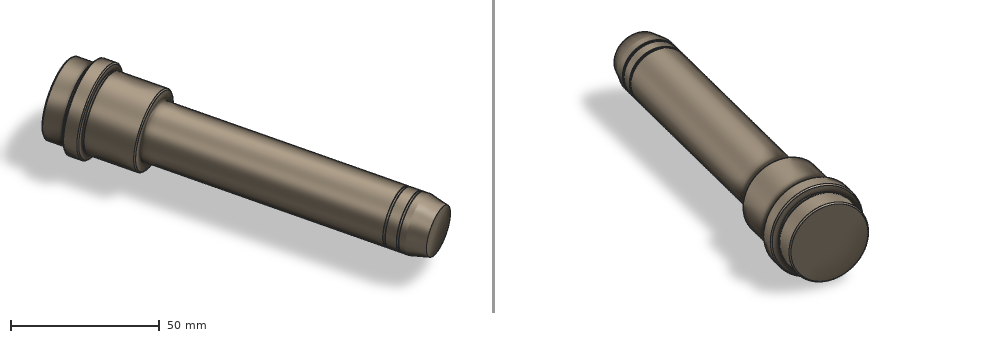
import cadquery as cq
import math

total_length = 141.0
shank_diameter = 22.0
head_diameter = 30.0
flange_diameter = 35.0

flange_start = 9.0
flange_width = 5.9
head_length = 35.0
edge_break = 0.5
relief_depth = 0.35
front_relief_width = 1.3
rear_relief_width = 0.8

shank_root_radius = 0.4

tip_length = 6.9
taper_angle = 14.0
groove_width = 0.8
groove_depth = 0.3
groove_starts_from_tip = (15.5, 10.5)

cutter_margin = 0.7


def cylinder(start, length, diameter):
    """Solid cylinder along +X, beginning at X = start."""
    return cq.Workplane("YZ", origin=(start, 0, 0)).circle(diameter / 2).extrude(length)


def ring_groove(start, width, diameter, depth):
    """Ring that cuts a square groove of the given depth into a round surface."""
    outer = cylinder(start, width, diameter + 2 * cutter_margin)
    core = cylinder(start, width, diameter - 2 * depth)
    return outer.cut(core)


def make_head():
    """Chamfered head with a flange and a shallow relief on each side of it."""
    flange_end = flange_start + flange_width
    body = cylinder(0, head_length, head_diameter).faces("<X or >X").chamfer(edge_break)
    reliefs = (
        (flange_start - front_relief_width, front_relief_width),
        (flange_end, rear_relief_width),
    )
    for start, width in reliefs:
        body = body.cut(ring_groove(start, width, head_diameter, relief_depth))
    flange = cylinder(flange_start, flange_width, flange_diameter).faces("<X or >X").chamfer(edge_break)
    return body.union(flange)


def make_shank():
    """Shank turned from one profile with a tapered tip, then grooved."""
    radius = shank_diameter / 2
    tip_radius = radius - tip_length * math.tan(math.radians(taper_angle))
    profile = (
        cq.Workplane("XY")
        .moveTo(0, 0)
        .lineTo(0, radius)
        .lineTo(total_length - tip_length, radius)
        .lineTo(total_length, tip_radius)
        .lineTo(total_length, 0)
        .close()
    )
    shank = profile.revolve(360, (0, 0, 0), (1, 0, 0))
    for distance in groove_starts_from_tip:
        start = total_length - distance
        shank = shank.cut(ring_groove(start, groove_width, shank_diameter, groove_depth))
    return shank


def fillet_shank_root(pin):
    """Round the corner where the shank meets the rear face of the head."""
    tolerance = edge_break / 2
    head_end_edges = cq.selectors.BoxSelector(
        (head_length - tolerance, -head_diameter, -head_diameter),
        (head_length + tolerance, head_diameter, head_diameter),
    )
    smallest_circle = cq.selectors.RadiusNthSelector(0)
    return pin.edges(head_end_edges).edges(smallest_circle).fillet(shank_root_radius)


result = fillet_shank_root(make_head().union(make_shank()))